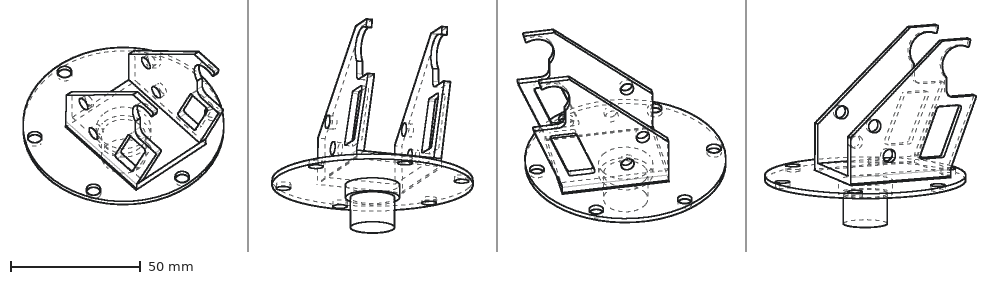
import cadquery as cq
import math

disc_diameter = 77.5
disc_thickness = 1.95
disc_hole_count = 6
disc_hole_diameter = 5.5
disc_hole_circle_radius = 34.8

collar_diameter = 20.9
collar_height = 5.1
spigot_diameter = 17.1
spigot_height = 11.9

bracket_back_x = -13.65
bracket_front_x = 28.2
floor_z = 5.15
bracket_top_z = 55.5
inner_half_width = 14.4
base_half_width = 17.55
wall_draft_angle = 1.0
foot_height = 0.55
foot_flare = 0.2

back_edge_top_z = 20.5
top_edge_back_x = 25.1
hook_corner_x = 37.1
hook_tip_x = 36.25
cradle_x = 32.4
cradle_z = 45.85
cradle_radius = 7.3
throat_x = 26.8
ledge_z = 33.2
throat_fillet = 3.0
front_edge_lean = 0.4
arm_corner_radius = 0.55

window_bottom_z = 10.05
window_top_z = 29.95
window_back_x = 15.0
window_width = 10.45
window_corner_radius = 1.0
pin_hole_diameter = 5.1
pin_hole_centers = [(-3.5, 24.3), (2.6, 12.3)]


def make_disc():
    disc = cq.Workplane("XY").circle(disc_diameter / 2).extrude(disc_thickness)
    holes = (
        cq.Workplane("XY")
        .polarArray(disc_hole_circle_radius, 0, 360, disc_hole_count)
        .circle(disc_hole_diameter / 2)
        .extrude(disc_thickness)
    )
    return disc.cut(holes)


def make_spigot():
    collar = cq.Workplane("XY").circle(collar_diameter / 2).extrude(-collar_height)
    spigot = cq.Workplane("XY").circle(spigot_diameter / 2).extrude(-(collar_height + spigot_height))
    return collar.union(spigot)


def cradle_height_offset(x):
    """Vertical distance from the cradle centre to its circle at the given X."""
    return math.sqrt(cradle_radius**2 - (x - cradle_x) ** 2)


def make_side_profile():
    """Side outline of the bracket, extruded across its full width."""
    ledge_end_x = bracket_front_x + front_edge_lean * (ledge_z - floor_z)
    hook_tip_z = cradle_z + cradle_height_offset(hook_tip_x)
    throat_top_z = cradle_z - cradle_height_offset(throat_x)
    half_depth = base_half_width + foot_flare
    profile = (
        cq.Workplane("XZ")
        .moveTo(bracket_back_x, disc_thickness)
        .lineTo(bracket_back_x, back_edge_top_z)
        .lineTo(top_edge_back_x, bracket_top_z)
        .lineTo(hook_corner_x, bracket_top_z)
        .lineTo(hook_tip_x, hook_tip_z)
        .threePointArc((cradle_x - cradle_radius, cradle_z), (throat_x, throat_top_z))
        .lineTo(throat_x, ledge_z)
        .lineTo(ledge_end_x, ledge_z)
        .lineTo(bracket_front_x, floor_z)
        .lineTo(bracket_front_x, disc_thickness)
        .close()
        .extrude(half_depth, both=True)
    )

    def round_edge(body, x, z, radius):
        nearest = cq.selectors.NearestToPointSelector((x, 0, z))
        return body.edges("|Y").edges(nearest).fillet(radius)

    profile = round_edge(profile, throat_x, ledge_z, throat_fillet)
    for x, z in [(hook_corner_x, bracket_top_z), (hook_tip_x, hook_tip_z), (ledge_end_x, ledge_z)]:
        profile = round_edge(profile, x, z, arm_corner_radius)
    return profile


def make_channel():
    """U section with drafted outer walls and a flared foot, extruded along X."""
    foot_top_z = disc_thickness + foot_height
    draft = (bracket_top_z - floor_z) * math.tan(math.radians(wall_draft_angle))
    top_half_width = base_half_width - draft
    positive_y_half = [
        (base_half_width + foot_flare, disc_thickness),
        (base_half_width, foot_top_z),
        (base_half_width, floor_z),
        (top_half_width, bracket_top_z),
        (inner_half_width, bracket_top_z),
        (inner_half_width, floor_z),
    ]
    negative_y_half = [(-y, z) for y, z in reversed(positive_y_half)]
    return (
        cq.Workplane("YZ")
        .workplane(offset=bracket_back_x)
        .polyline(positive_y_half + negative_y_half)
        .close()
        .extrude(disc_diameter)
    )


def make_arm_openings():
    window_lean = front_edge_lean * (window_top_z - window_bottom_z)
    window = (
        cq.Workplane("XZ")
        .polyline([
            (window_back_x, window_bottom_z),
            (window_back_x + window_width, window_bottom_z),
            (window_back_x + window_width + window_lean, window_top_z),
            (window_back_x + window_lean, window_top_z),
        ])
        .close()
        .extrude(disc_diameter / 2, both=True)
        .edges("|Y")
        .fillet(window_corner_radius)
    )
    pin_holes = (
        cq.Workplane("XZ")
        .pushPoints(pin_hole_centers)
        .circle(pin_hole_diameter / 2)
        .extrude(disc_diameter / 2, both=True)
    )
    return window.union(pin_holes)


bracket = make_channel().intersect(make_side_profile()).cut(make_arm_openings())
result = make_disc().union(make_spigot()).union(bracket)